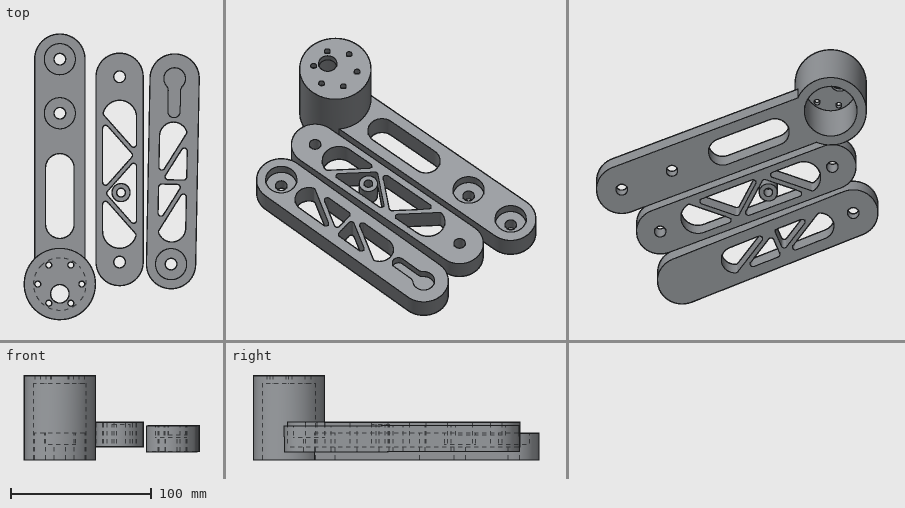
import cadquery as cq
import math


BORE_DIAMETER = 8.1
BEARING_DIAMETER = 22.2
RIB_THICKNESS = 3.3
RIB_OVERRUN = 6.5
POCKET_FILLET = 2.0

HOUSING_DIAMETER = 50.9
HOUSING_HEIGHT = 60.0
LID_THICKNESS = 5.7
MOTOR_DIAMETER = 37.5
SHAFT_HOLE_DIAMETER = 13.0
SHAFT_OFFSET = 7.0
SCREW_HOLE_DIAMETER = 4.0
SCREW_CIRCLE_RADIUS = 15.7
SCREW_COUNT = 6
TOTAL_LENGTH = 203.5
ARM_WIDTH = 36.0
ARM_HEIGHT = 19.1
ARM_END_Y = TOTAL_LENGTH - HOUSING_DIAMETER / 2 - ARM_WIDTH / 2
ARM_BEARING_SPACING = 38.5
ARM_BEARING_DEPTH = 8.1
ARM_SLOT_WIDTH = 20.2
ARM_SLOT_LENGTH = 60.3
ARM_SLOT_Y = 62.7

MIDDLE_WIDTH = 33.8
MIDDLE_HEIGHT = 17.7
MIDDLE_SPAN = 132.0
MIDDLE_START = (42.5, 15.7, 9.4)
MIDDLE_WINDOW_WIDTH = 24.0
MIDDLE_WINDOW_SPAN = 81.2
MIDDLE_WINDOW_Y = 62.5
MIDDLE_RIB_COUNT = 3

BUSHING_DIAMETER = 13.0
BUSHING_BORE = 6.1
BUSHING_LENGTH = 16.0
BUSHING_BASE = (43.5, 65.1, MIDDLE_START[2])

END_WIDTH = 35.2
END_HEIGHT = 18.5
END_SPAN = 132.1
END_START = (79.2, 14.2, 5.7)
END_TURN = -1.1
END_TILT = 0.2
END_BEARING_DEPTH = 8.1
END_WINDOW_WIDTH = 19.7
END_WINDOW_SPAN = 65.5
END_WINDOW_Y = 58.5
KEYHOLE_DIAMETER = 15.5
KEYHOLE_SLOT_WIDTH = 8.8
KEYHOLE_SLOT_REACH = 23.5
KEYHOLE_DEPTH = 7.0
KEYHOLE_NECK_FILLET = 5.0


def disc(diameter, height, x=0, y=0, z=0):
    """Vertical cylinder standing on height z."""
    return cq.Workplane("XY", origin=(x, y, z)).circle(diameter / 2).extrude(height)


def stadium(span, width, height, start_y=0, z=0):
    """Round-ended bar along Y whose first end is centred on start_y."""
    origin = (0, start_y + span / 2, z)
    return cq.Workplane("XY", origin=origin).slot2D(span + width, width, 90).extrude(height)


def bearing_seat(y, body_height, depth):
    """Through bore with a bearing counterbore sunk from the top face."""
    bore = disc(BORE_DIAMETER, body_height, y=y)
    return bore.union(disc(BEARING_DIAMETER, depth, y=y, z=body_height - depth))


def rib(start, end, height):
    """Straight upright web between two points, run on past both of them."""
    dx = end[0] - start[0]
    dy = end[1] - start[1]
    middle = ((start[0] + end[0]) / 2, (start[1] + end[1]) / 2, 0)
    return (
        cq.Workplane("XY", origin=middle)
        .transformed(rotate=(0, 0, math.degrees(math.atan2(dy, dx))))
        .rect(math.hypot(dx, dy) + 2 * RIB_OVERRUN, RIB_THICKNESS)
        .extrude(height)
    )


def truss_windows(span, width, height, center_y, nodes):
    """Round-ended opening split into rounded windows by ribs joining the nodes in turn."""
    windows = stadium(span, width, height, start_y=center_y - span / 2)
    for start, end in zip(nodes, nodes[1:]):
        windows = windows.cut(rib(start, end, height))
    return windows.edges("|Z").fillet(POCKET_FILLET)


def make_base_arm():
    arm = stadium(ARM_END_Y, ARM_WIDTH, ARM_HEIGHT)
    for y in (ARM_END_Y, ARM_END_Y - ARM_BEARING_SPACING):
        arm = arm.cut(bearing_seat(y, ARM_HEIGHT, ARM_BEARING_DEPTH))
    slot_span = ARM_SLOT_LENGTH - ARM_SLOT_WIDTH
    arm = arm.cut(stadium(slot_span, ARM_SLOT_WIDTH, ARM_HEIGHT, ARM_SLOT_Y - slot_span / 2))

    body = arm.union(disc(HOUSING_DIAMETER, HOUSING_HEIGHT))
    body = body.cut(disc(MOTOR_DIAMETER, HOUSING_HEIGHT - LID_THICKNESS))
    body = body.cut(disc(SHAFT_HOLE_DIAMETER, HOUSING_HEIGHT, y=-SHAFT_OFFSET))
    screw_holes = (
        cq.Workplane("XY")
        .polarArray(SCREW_CIRCLE_RADIUS, 0, 360, SCREW_COUNT)
        .circle(SCREW_HOLE_DIAMETER / 2)
        .extrude(HOUSING_HEIGHT)
    )
    return body.cut(screw_holes)


def make_middle_link():
    link = stadium(MIDDLE_SPAN, MIDDLE_WIDTH, MIDDLE_HEIGHT)
    for y in (0, MIDDLE_SPAN):
        link = link.cut(disc(BORE_DIAMETER, MIDDLE_HEIGHT, y=y))

    side = MIDDLE_WINDOW_WIDTH / 2
    top_y = MIDDLE_WINDOW_Y + MIDDLE_WINDOW_SPAN / 2
    pitch = MIDDLE_WINDOW_SPAN / MIDDLE_RIB_COUNT
    nodes = [(side * (-1) ** (i + 1), top_y - i * pitch) for i in range(MIDDLE_RIB_COUNT + 1)]
    windows = truss_windows(MIDDLE_WINDOW_SPAN, MIDDLE_WINDOW_WIDTH, MIDDLE_HEIGHT, MIDDLE_WINDOW_Y, nodes)
    return link.cut(windows).translate(MIDDLE_START)


def make_bushing():
    x, y, z = BUSHING_BASE
    bushing = disc(BUSHING_DIAMETER, BUSHING_LENGTH, x, y, z)
    return bushing.cut(disc(BUSHING_BORE, BUSHING_LENGTH, x, y, z))


def make_end_link():
    link = stadium(END_SPAN, END_WIDTH, END_HEIGHT)
    link = link.cut(bearing_seat(0, END_HEIGHT, END_BEARING_DEPTH))

    floor = END_HEIGHT - KEYHOLE_DEPTH
    slot_y = END_SPAN - KEYHOLE_SLOT_REACH
    keyhole = disc(KEYHOLE_DIAMETER, KEYHOLE_DEPTH, y=END_SPAN, z=floor)
    keyhole = keyhole.union(stadium(KEYHOLE_SLOT_REACH, KEYHOLE_SLOT_WIDTH, KEYHOLE_DEPTH, slot_y, floor))

    neck = cq.selectors.BoxSelector(
        (-KEYHOLE_SLOT_WIDTH, END_SPAN - KEYHOLE_DIAMETER / 2, 0),
        (KEYHOLE_SLOT_WIDTH, END_SPAN - KEYHOLE_SLOT_WIDTH / 2, END_HEIGHT),
    )
    link = link.cut(keyhole.edges("|Z").edges(neck).fillet(KEYHOLE_NECK_FILLET))

    side = END_WINDOW_WIDTH / 2
    reach = END_WINDOW_SPAN / 2
    nodes = [
        (side, END_WINDOW_Y + reach),
        (-side, END_WINDOW_Y),
        (side, END_WINDOW_Y),
        (-side, END_WINDOW_Y - reach),
    ]
    link = link.cut(truss_windows(END_WINDOW_SPAN, END_WINDOW_WIDTH, END_HEIGHT, END_WINDOW_Y, nodes))

    tilted = link.rotate((0, 0, 0), (1, 0, 0), END_TILT)
    return tilted.rotate((0, 0, 0), (0, 0, 1), END_TURN).translate(END_START)


base_arm = make_base_arm()
middle_link = make_middle_link()
bushing = make_bushing()
end_link = make_end_link()

bodies = [base_arm, middle_link, bushing, end_link]
result = cq.Compound.makeCompound([body.solids().val() for body in bodies])